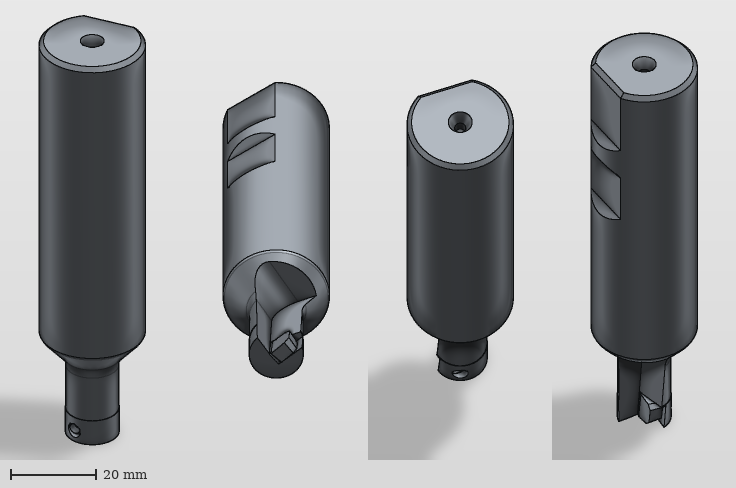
import cadquery as cq
import math

TOTAL_LENGTH = 107.6
SHANK_RADIUS = 12.5
NECK_RADIUS = 6.2
NOSE_RADIUS = 6.3
END_CHAMFER = 1.1

NOSE_BOTTOM = 0.3
NOSE_TOP = 6.9
NECK_TOP = 18.6
CONE_BOTTOM = 21.3
CONE_TOP = 27.2
SHANK_BOTTOM = 27.9
CONE_BOTTOM_RADIUS = 7.0
CONE_TOP_RADIUS = 12.2

FLAT_Y = 10.5
FLAT_DEPTH = SHANK_RADIUS - FLAT_Y
LOWER_FLAT_BOTTOM = 69.6
LOWER_FLAT_TOP = 82.2
UPPER_FLAT_BOTTOM = 90.6

CENTRE_HOLE_RADIUS = 2.8
PILOT_RADIUS = 1.3
COUNTERSINK_DEPTH = (CENTRE_HOLE_RADIUS - PILOT_RADIUS) / math.tan(math.radians(30))
PILOT_DEPTH = 2.7

RAKE_ANGLE = 5.5
GULLET_SKEW = 12.0
TIP_X = 0.8
TIP_Y = 1.1
GULLET_FLOOR_X = 1.2
GULLET_FLOOR_TOP_X = 1.6
GULLET_FLOOR_TOP = 18.5
GULLET_TOP = 24.6
GULLET_COVE_RADIUS = GULLET_TOP - GULLET_FLOOR_TOP

INSERT_SKEW = -6.0
INSERT_THICKNESS = 3.4
INSERT_TAPER = 7.0
INSERT_LEFT = -4.5
INSERT_RIGHT = 1.3
INSERT_HEIGHT = 6.5
INSERT_CORNER_X = 1.3
INSERT_LOWER_CORNER_Z = 0.8
INSERT_SIDE_BOTTOM = 1.9
INSERT_SIDE_TOP = 5.5

SCREW_X = -2.0
SCREW_Z = 3.2
SCREW_COUNTERBORE_DIAMETER = 3.5
SCREW_HOLE_DIAMETER = 2.6
SCREW_HOLE_OFFSET = 0.3
SCREW_SHOULDER_Y = -4.5

CUT_REACH = 32.3


def leaning_plane(skew):
    """XZ plane through the tip line, leaning by the rake angle and turned about Z; its normal is -Y."""
    return cq.Plane.named("XZ", (TIP_X, TIP_Y, 0)).rotated((RAKE_ANGLE, skew, 0))


def turned_blank():
    return (
        cq.Workplane("XZ")
        .moveTo(0, NOSE_BOTTOM)
        .lineTo(NOSE_RADIUS, NOSE_BOTTOM)
        .lineTo(NOSE_RADIUS, NOSE_TOP)
        .lineTo(NECK_RADIUS, NOSE_TOP)
        .lineTo(NECK_RADIUS, NECK_TOP)
        .tangentArcPoint((CONE_BOTTOM_RADIUS, CONE_BOTTOM), relative=False)
        .lineTo(CONE_TOP_RADIUS, CONE_TOP)
        .lineTo(SHANK_RADIUS, SHANK_BOTTOM)
        .lineTo(SHANK_RADIUS, TOTAL_LENGTH)
        .lineTo(0, TOTAL_LENGTH)
        .close()
        .revolve(360, (0, 0, 0), (0, 1, 0))
    )


def clamping_flats():
    """Two flats with 45 degree run-outs; the upper one runs off the shank end."""
    lower = [
        (FLAT_Y, LOWER_FLAT_BOTTOM),
        (FLAT_Y, LOWER_FLAT_TOP),
        (SHANK_RADIUS, LOWER_FLAT_TOP + FLAT_DEPTH),
        (SHANK_RADIUS, LOWER_FLAT_BOTTOM - FLAT_DEPTH),
    ]
    upper = [
        (FLAT_Y, UPPER_FLAT_BOTTOM),
        (FLAT_Y, TOTAL_LENGTH),
        (SHANK_RADIUS, TOTAL_LENGTH),
        (SHANK_RADIUS, UPPER_FLAT_BOTTOM - FLAT_DEPTH),
    ]
    cutter = cq.Workplane("YZ")
    for outline in (lower, upper):
        cutter = cutter.polyline(outline).close()
    return cutter.extrude(SHANK_RADIUS, both=True)


def centre_hole():
    countersink_bottom = TOTAL_LENGTH - COUNTERSINK_DEPTH
    return (
        cq.Workplane("XZ")
        .moveTo(0, TOTAL_LENGTH)
        .lineTo(CENTRE_HOLE_RADIUS, TOTAL_LENGTH)
        .lineTo(PILOT_RADIUS, countersink_bottom)
        .lineTo(PILOT_RADIUS, countersink_bottom - PILOT_DEPTH)
        .lineTo(0, countersink_bottom - PILOT_DEPTH)
        .close()
        .revolve(360, (0, 0, 0), (0, 1, 0))
    )


def gullet():
    """Chip space on the +Y side of the skewed wall, with a cove curving out to -X above its floor."""
    floor_x = GULLET_FLOOR_X - TIP_X
    floor_top_x = GULLET_FLOOR_TOP_X - TIP_X
    profile = (
        cq.Workplane(leaning_plane(0))
        .moveTo(floor_x, 0)
        .lineTo(floor_top_x, GULLET_FLOOR_TOP)
        .radiusArc((floor_top_x - GULLET_COVE_RADIUS, GULLET_TOP), -GULLET_COVE_RADIUS)
        .lineTo(-CUT_REACH, GULLET_TOP)
        .lineTo(-CUT_REACH, -CUT_REACH)
        .lineTo(floor_x, -CUT_REACH)
        .close()
        .extrude(CUT_REACH, both=True)
    )
    beyond_wall = (
        cq.Workplane(leaning_plane(GULLET_SKEW))
        .rect(2 * CUT_REACH, 2 * CUT_REACH)
        .extrude(-CUT_REACH)
    )
    return profile.intersect(beyond_wall)


def insert_pocket():
    """Recess whose back wall carries the back of the insert."""
    right = INSERT_RIGHT - TIP_X
    return (
        cq.Workplane(leaning_plane(INSERT_SKEW))
        .workplane(offset=INSERT_THICKNESS)
        .moveTo(right, NOSE_TOP)
        .lineTo(-CUT_REACH, NOSE_TOP)
        .lineTo(-CUT_REACH, -CUT_REACH)
        .lineTo(right, -CUT_REACH)
        .close()
        .extrude(-INSERT_THICKNESS)
    )


def screw_hole():
    """Stepped hole from the outside of the nose to the insert pocket."""
    counterbore = (
        cq.Workplane("XZ", origin=(SCREW_X, SCREW_SHOULDER_Y, SCREW_Z))
        .circle(SCREW_COUNTERBORE_DIAMETER / 2)
        .extrude(NECK_RADIUS)
    )
    bore = (
        cq.Workplane(
            "XZ", origin=(SCREW_X - SCREW_HOLE_OFFSET, TIP_Y, SCREW_Z - SCREW_HOLE_OFFSET)
        )
        .circle(SCREW_HOLE_DIAMETER / 2)
        .extrude(NECK_RADIUS)
    )
    return counterbore.union(bore)


def make_holder():
    shank = turned_blank().cut(clamping_flats())
    shank = shank.faces(">Z").edges().chamfer(END_CHAMFER)
    return shank.cut(centre_hole()).cut(gullet()).cut(insert_pocket()).cut(screw_hole())


def make_insert():
    """Plate with clipped left corners, tapering toward its back, with its tip at the lower right."""
    left = INSERT_LEFT - TIP_X
    right = INSERT_RIGHT - TIP_X
    return (
        cq.Workplane(leaning_plane(INSERT_SKEW))
        .polyline(
            [
                (0, 0),
                (right, INSERT_SIDE_BOTTOM),
                (right, INSERT_HEIGHT),
                (left + INSERT_CORNER_X, INSERT_HEIGHT),
                (left, INSERT_SIDE_TOP),
                (left, INSERT_SIDE_BOTTOM),
                (left + INSERT_CORNER_X, INSERT_LOWER_CORNER_Z),
            ]
        )
        .close()
        .extrude(INSERT_THICKNESS, taper=INSERT_TAPER)
    )


holder = make_holder()
insert = make_insert()
result = cq.Compound.makeCompound([holder.val(), insert.val()])